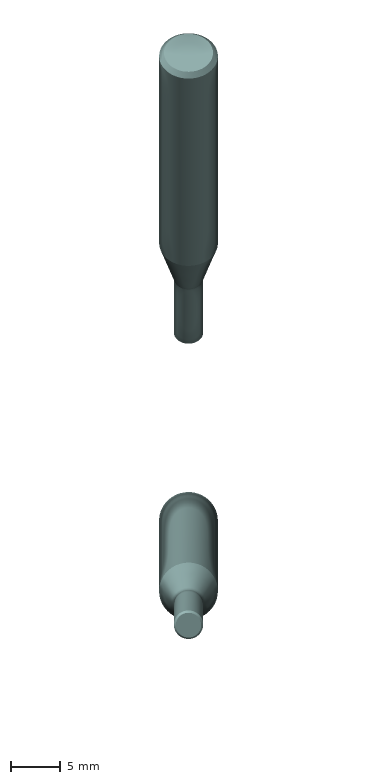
import cadquery as cq

TOTAL_LENGTH = 45.0
SHANK_DIAMETER = 6.0
CUTTER_DIAMETER = SHANK_DIAMETER / 2

CUTTER_LENGTH = 8.0
NECK_TOP = 8.9
TAPER_TOP = 14.5

SHANK_CHAMFER = 0.5
TIP_CHAMFER = 0.2


def make_shank():
    """Cylindrical shank with a tapered lower end and a short straight neck."""
    shank_radius = SHANK_DIAMETER / 2
    neck_radius = CUTTER_DIAMETER / 2
    half_profile = (
        cq.Workplane("XZ")
        .moveTo(0, CUTTER_LENGTH)
        .lineTo(neck_radius, CUTTER_LENGTH)
        .lineTo(neck_radius, NECK_TOP)
        .lineTo(shank_radius, TAPER_TOP)
        .lineTo(shank_radius, TOTAL_LENGTH - SHANK_CHAMFER)
        .lineTo(shank_radius - SHANK_CHAMFER, TOTAL_LENGTH)
        .lineTo(0, TOTAL_LENGTH)
        .close()
    )
    return half_profile.revolve(360, (0, 0, 0), (0, 1, 0))


def make_cutter():
    """Straight cutter below the neck, chamfered around its tip."""
    return (
        cq.Workplane("XY")
        .circle(CUTTER_DIAMETER / 2)
        .extrude(CUTTER_LENGTH)
        .faces("<Z")
        .chamfer(TIP_CHAMFER)
    )


shank = make_shank()
cutter = make_cutter()

result = cq.Compound.makeCompound([shank.val(), cutter.val()])